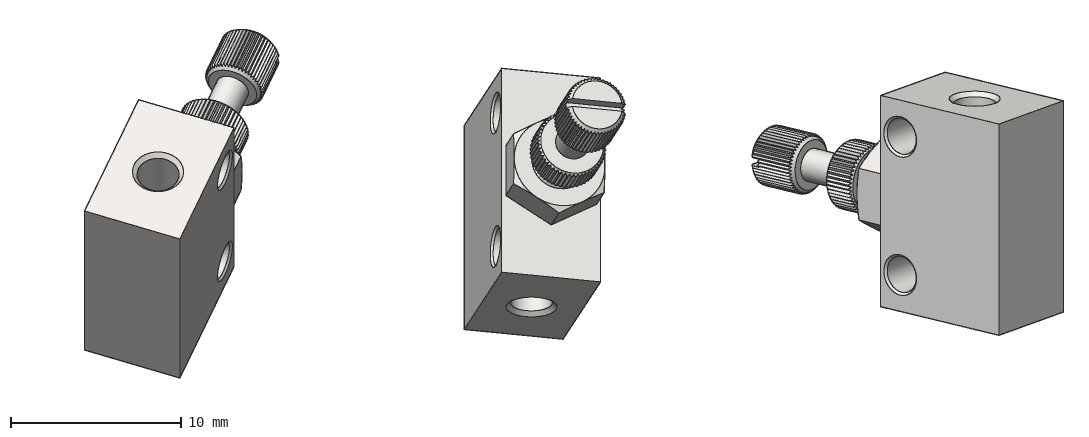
import cadquery as cq
import math

body_width = 6.0
body_depth = 9.0
body_height = 13.0

mount_hole_diameter = 2.2
mount_hole_chamfer = 0.15
mount_hole_y = 7.5
mount_hole_spacing = 8.5

port_diameter = 2.45
port_mouth_diameter = 3.0
port_y = 4.3
port_depth = 4.0
passage_diameter = 1.6
passage_tilt = 20.0
passage_offset_y = 0.62
passage_length = 1.1
drill_point_angle = 118.0

nut_end_y = 11.0
lock_start_y = 12.0
lock_end_y = 14.0
knob_start_y = 16.7
knob_end_y = 20.0

nut_across_flats = 5.5
nut_corner_angle = 20.0

collar_diameter = 3.0
flare_length = 0.22
flare_growth = 0.18

spindle_diameter = 2.0
lock_diameter = 4.2
lock_chamfer = 0.2
knob_diameter = 3.65
knob_chamfer = 0.3
knurl_teeth = 50
knurl_depth = 0.15
slot_width = 0.5
slot_depth = 0.68


def revolved(profile):
    """Turn a closed (radius, y) profile about the valve axis."""
    return cq.Workplane("XY").polyline(profile).close().revolve(360, (0, 0, 0), (0, 1, 0))


def axis_plane(y):
    """Plane across the valve axis whose normal points along +y."""
    return cq.Workplane(cq.Plane(origin=(0, y, 0), xDir=(1, 0, 0), normal=(0, 1, 0)))


def rod(diameter, start_y, end_y):
    return axis_plane(start_y).circle(diameter / 2).extrude(end_y - start_y)


def mounting_hole(z):
    hole_radius = mount_hole_diameter / 2
    mouth_radius = hole_radius + mount_hole_chamfer
    half_width = body_width / 2
    straight_half = half_width - mount_hole_chamfer
    profile = [
        (-half_width, 0),
        (-half_width, mouth_radius),
        (-straight_half, hole_radius),
        (straight_half, hole_radius),
        (half_width, mouth_radius),
        (half_width, 0),
    ]
    cutter = cq.Workplane("XY").polyline(profile).close().revolve(360, (0, 0, 0), (1, 0, 0))
    return cutter.translate((0, mount_hole_y, z))


def top_port():
    radius = port_diameter / 2
    mouth_radius = port_mouth_diameter / 2
    mouth_depth = mouth_radius - radius
    top_z = body_height / 2
    floor_z = top_z - port_depth
    bore_profile = [
        (0, floor_z),
        (radius, floor_z),
        (radius, top_z - mouth_depth),
        (mouth_radius, top_z),
        (0, top_z),
    ]
    bore = cq.Workplane("XZ").polyline(bore_profile).close().revolve(360, (0, 0, 0), (0, 1, 0))
    bore = bore.translate((0, port_y, 0))

    passage_radius = passage_diameter / 2
    point_length = passage_radius / math.tan(math.radians(drill_point_angle / 2))
    drill_profile = [
        (0, passage_radius),
        (passage_radius, passage_radius),
        (passage_radius, -passage_length),
        (0, -passage_length - point_length),
    ]
    drill = cq.Workplane("XZ").polyline(drill_profile).close().revolve(360, (0, 0, 0), (0, 1, 0))
    drill = drill.rotate((0, 0, 0), (1, 0, 0), passage_tilt)
    drill = drill.translate((0, port_y + passage_offset_y, floor_z))
    return bore.union(drill)


def valve_body():
    body = cq.Workplane("XY").box(body_width, body_depth, body_height, centered=(True, False, True))
    for side in (-1, 1):
        body = body.cut(mounting_hole(side * mount_hole_spacing / 2))
    port = top_port()
    return body.cut(port).cut(port.mirror("XY"))


def hex_nut():
    corner_radius = nut_across_flats / math.sqrt(3)
    flat_radius = nut_across_flats / 2
    corner_drop = (corner_radius - flat_radius) * math.tan(math.radians(nut_corner_angle))
    prism = axis_plane(body_depth).polygon(6, 2 * corner_radius).extrude(nut_end_y - body_depth)
    prism = prism.rotate((0, 0, 0), (0, 1, 0), 30)
    corner_trim = revolved([
        (0, body_depth),
        (corner_radius, body_depth),
        (corner_radius, nut_end_y - corner_drop),
        (flat_radius, nut_end_y),
        (0, nut_end_y),
    ])
    return prism.intersect(corner_trim)


def collar():
    radius = collar_diameter / 2
    return revolved([
        (0, nut_end_y),
        (radius + flare_growth, nut_end_y),
        (radius, nut_end_y + flare_length),
        (radius, lock_start_y),
        (0, lock_start_y),
    ])


def knurled_cylinder(diameter, start_y, end_y, chamfer):
    """Cylinder with V-shaped straight knurling, a valley facing +x, and chamfered ends."""
    tip_radius = diameter / 2
    outline = []
    for step in range(2 * knurl_teeth):
        angle = math.pi * step / knurl_teeth
        is_valley = step % 2 == 0
        radius = tip_radius - knurl_depth if is_valley else tip_radius
        outline.append((radius * math.cos(angle), radius * math.sin(angle)))
    toothed = axis_plane(start_y).polyline(outline).close().extrude(end_y - start_y)
    blank = rod(diameter, start_y, end_y).edges().chamfer(chamfer)
    return toothed.intersect(blank)


def knob():
    knurled = knurled_cylinder(knob_diameter, knob_start_y, knob_end_y, knob_chamfer)
    slot = cq.Workplane("XY").box(knob_diameter, 2 * slot_depth, slot_width)
    return knurled.cut(slot.translate((0, knob_end_y, 0)))


result = (
    valve_body()
    .union(hex_nut())
    .union(collar())
    .union(knurled_cylinder(lock_diameter, lock_start_y, lock_end_y, lock_chamfer))
    .union(rod(spindle_diameter, lock_end_y, knob_start_y))
    .union(knob())
)